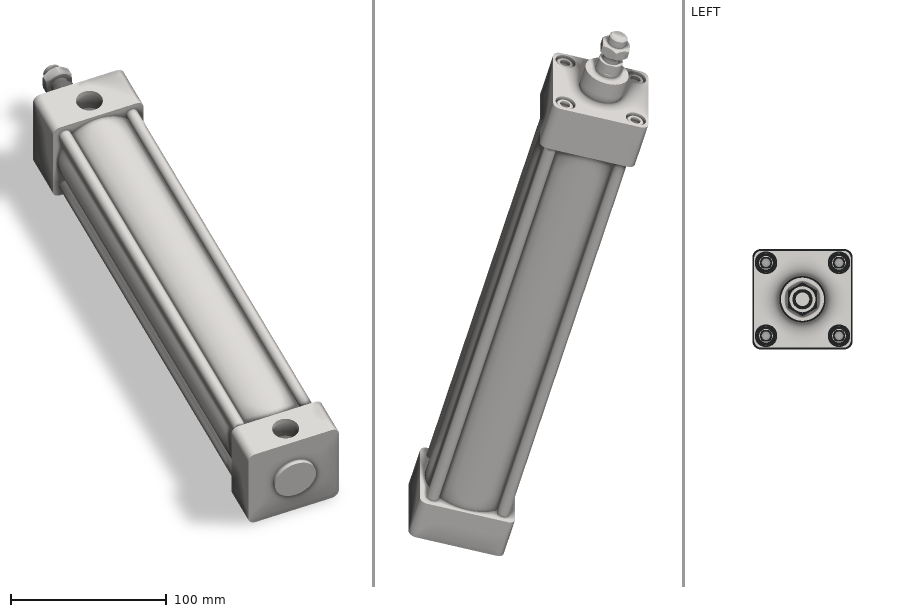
import cadquery as cq
import math

NUT_FRONT_X = 6.3
NUT_THICKNESS = 7.0
ROD_SHOULDER_X = 19.3
BOSS_FRONT_X = 28.7
FRONT_CAP_X = 44.0
FRONT_CAP_LENGTH = 32.0
REAR_CAP_X = 363.5
REAR_CAP_END_X = 390.5
OVERALL_LENGTH = 393.7
TUBE_X = FRONT_CAP_X + FRONT_CAP_LENGTH
REAR_CAP_LENGTH = REAR_CAP_END_X - REAR_CAP_X

ROD_DIAMETER = 15.7
THREAD_DIAMETER = 12
THREAD_CHAMFER = 1.0
WRENCH_FLAT_WIDTH = 14.5
WRENCH_FLAT_LENGTH = 7.0
NUT_ACROSS_FLATS = 17.7
NUT_CHAMFER_DEPTH = 1.0
NUT_ACROSS_CORNERS = NUT_ACROSS_FLATS / math.cos(math.radians(30))
NUT_CHAMFER_WIDTH = (NUT_ACROSS_CORNERS - NUT_ACROSS_FLATS) / 2

CAP_SIDE = 63.5
CAP_CORNER_RADIUS = 5.0
BOSS_DIAMETER = 28.7
PORT_DIAMETER = 17.5
PORT_DEPTH = 15.7
PORT_FROM_TUBE = 14.0
FRONT_PORT_X = TUBE_X - PORT_FROM_TUBE
REAR_PORT_X = REAR_CAP_X + PORT_FROM_TUBE

TUBE_DIAMETER = 57.0
TIE_ROD_DIAMETER = 8
TIE_ROD_PITCH = 47.0
TIE_ROD_OFFSET = TIE_ROD_PITCH / 2
HEAD_DIAMETER = 11.0
HEAD_CHAMFER = 0.6
SOCKET_DIAMETER = 6.5
RECESS_DIAMETER = 13.5
RECESS_DEPTH = 4
HEAD_SETBACK = 1.0
HEAD_FRONT_X = FRONT_CAP_X + HEAD_SETBACK
RECESS_FLOOR_X = FRONT_CAP_X + RECESS_DEPTH
TIE_ROD_CENTRES = [
    (y, z)
    for y in (-TIE_ROD_OFFSET, TIE_ROD_OFFSET)
    for z in (-TIE_ROD_OFFSET, TIE_ROD_OFFSET)
]


def cylinder(diameter, start_x, end_x, y=0, z=0):
    """Cylinder along X between two stations."""
    return (
        cq.Workplane("YZ", origin=(start_x, y, z))
        .circle(diameter / 2)
        .extrude(end_x - start_x)
    )


def cap_block(start_x, length, port_x):
    """Square cap with rounded long edges, a port in its top and four tie rod holes."""
    block = (
        cq.Workplane("YZ", origin=(start_x, 0, 0))
        .rect(CAP_SIDE, CAP_SIDE)
        .extrude(length)
        .edges("|X")
        .fillet(CAP_CORNER_RADIUS)
    )
    port = (
        cq.Workplane("XY", origin=(port_x, 0, CAP_SIDE / 2))
        .circle(PORT_DIAMETER / 2)
        .extrude(-PORT_DEPTH)
    )
    block = block.cut(port)
    for y, z in TIE_ROD_CENTRES:
        block = block.cut(cylinder(TIE_ROD_DIAMETER, start_x, start_x + length, y, z))
    return block


def make_front_cap():
    """Front cap with the rod guide boss, the rod bore and recesses around the tie rod heads."""
    cap = cap_block(FRONT_CAP_X, FRONT_CAP_LENGTH, FRONT_PORT_X)
    cap = cap.union(cylinder(BOSS_DIAMETER, BOSS_FRONT_X, FRONT_CAP_X))
    cap = cap.cut(cylinder(ROD_DIAMETER, BOSS_FRONT_X, TUBE_X))
    for y, z in TIE_ROD_CENTRES:
        cap = cap.cut(cylinder(RECESS_DIAMETER, FRONT_CAP_X, RECESS_FLOOR_X, y, z))
    return cap


def make_rear_cap():
    """Rear cap with a short locating boss on its end face."""
    cap = cap_block(REAR_CAP_X, REAR_CAP_LENGTH, REAR_PORT_X)
    return cap.union(cylinder(BOSS_DIAMETER, REAR_CAP_END_X, OVERALL_LENGTH))


def make_tube():
    """Barrel between the two caps."""
    return cylinder(TUBE_DIAMETER, TUBE_X, REAR_CAP_X)


def make_tie_rod(y, z):
    """Tie rod through both caps, with a chamfered socket head set back in the front recess."""
    shank = cylinder(TIE_ROD_DIAMETER, RECESS_FLOOR_X, REAR_CAP_END_X, y, z)
    head = cylinder(HEAD_DIAMETER, HEAD_FRONT_X, RECESS_FLOOR_X, y, z)
    head = head.faces("<X").chamfer(HEAD_CHAMFER)
    socket = cylinder(SOCKET_DIAMETER, HEAD_FRONT_X, RECESS_FLOOR_X, y, z)
    return shank.union(head.cut(socket))


def make_piston_rod():
    """Rod with a threaded nose and two wrench flats behind its shoulder."""
    body = cylinder(ROD_DIAMETER, ROD_SHOULDER_X, TUBE_X)
    slab = cq.Workplane("XY").box(
        WRENCH_FLAT_LENGTH, ROD_DIAMETER, ROD_DIAMETER, centered=(False, True, False)
    )
    for side in (0, 180):
        flat_cut = slab.translate((ROD_SHOULDER_X, 0, WRENCH_FLAT_WIDTH / 2))
        body = body.cut(flat_cut.rotate((0, 0, 0), (1, 0, 0), side))
    nose = cylinder(THREAD_DIAMETER, 0, ROD_SHOULDER_X).faces("<X").chamfer(THREAD_CHAMFER)
    return body.union(nose)


def make_nut():
    """Hexagon nut with corners up and down, its corners chamfered on both faces."""
    nut_end_x = NUT_FRONT_X + NUT_THICKNESS
    hexagon = (
        cq.Workplane("YZ", origin=(NUT_FRONT_X, 0, 0))
        .transformed(rotate=(0, 0, 90))
        .polygon(6, NUT_ACROSS_CORNERS)
        .extrude(NUT_THICKNESS)
    )
    nut_radius = NUT_ACROSS_CORNERS / 2
    face_radius = nut_radius - NUT_CHAMFER_WIDTH
    chamfered_disc = (
        cq.Workplane("XY")
        .moveTo(NUT_FRONT_X, 0)
        .lineTo(NUT_FRONT_X, face_radius)
        .lineTo(NUT_FRONT_X + NUT_CHAMFER_DEPTH, nut_radius)
        .lineTo(nut_end_x - NUT_CHAMFER_DEPTH, nut_radius)
        .lineTo(nut_end_x, face_radius)
        .lineTo(nut_end_x, 0)
        .close()
        .revolve(360, (0, 0, 0), (1, 0, 0))
    )
    return hexagon.intersect(chamfered_disc).cut(cylinder(THREAD_DIAMETER, NUT_FRONT_X, nut_end_x))


front_cap = make_front_cap()
rear_cap = make_rear_cap()
tube = make_tube()
piston_rod = make_piston_rod()
nut = make_nut()
tie_rods = [make_tie_rod(y, z).val() for y, z in TIE_ROD_CENTRES]

result = cq.Compound.makeCompound(
    [front_cap.val(), rear_cap.val(), tube.val(), piston_rod.val(), nut.val(), *tie_rods]
)